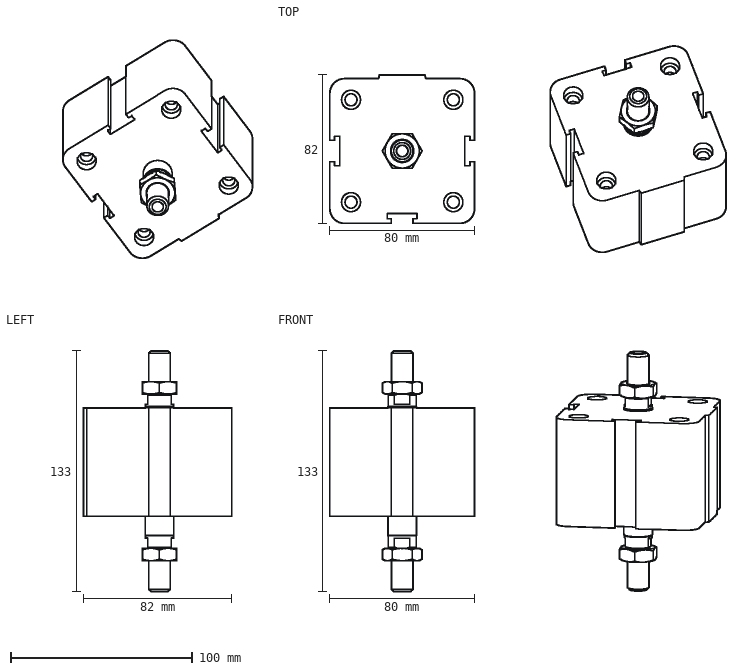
import cadquery as cq
import math

BLOCK_SIDE = 80.0
BLOCK_HEIGHT = 60.0
CORNER_RADIUS = 8.2

RIB_WIDTH = 25.1
RIB_HEIGHT = 2.0
RIB_SIDE_RUN = 0.5

SLOT_OPENING = 11.8
SLOT_WIDTH = 16.2
SLOT_LIP = 2.7
SLOT_DEPTH = 5.5

MOUNT_SPACING = 56.5
MOUNT_BORE = 10.5
MOUNT_BORE_DEPTH = 6.4
MOUNT_HOLE = 6.6
MOUNT_HOLE_DEPTH = 13.3

ROD_DIAMETER = 16.0
ROD_BORE = 6.3
ROD_LENGTH = 133.0
ROD_ABOVE_BLOCK = 31.5
THREAD_DIAMETER = 12.0
THREAD_LENGTH = 24.0
THREAD_CHAMFER = 1.3
COLLAR_DIAMETER = 15.5
COLLAR_CHAMFER = 0.7
COLLAR_END = 30.7
COLLAR_TAPER = 0.4
FLAT_WIDTH = 13.0
FLAT_END = 29.5

NUT_FLATS = 19.0
NUT_THICKNESS = 6.9
NUT_FACE_DIAMETER = 18.9
NUT_CHAMFER_ANGLE = 30.0
NUT_COUNTERSINK = 12.8

BLOCK_TOP = BLOCK_HEIGHT / 2
BLOCK_BOTTOM = -BLOCK_HEIGHT / 2
HALF_SIDE = BLOCK_SIDE / 2
ROD_TOP = BLOCK_TOP + ROD_ABOVE_BLOCK
ROD_BOTTOM = ROD_TOP - ROD_LENGTH


def base_plane():
    return cq.Workplane("XY").workplane(offset=BLOCK_BOTTOM)


def prism(outline):
    """Extrude an XY outline through the height of the block."""
    return outline.extrude(BLOCK_HEIGHT)


def rib():
    """Raised strip on the +Y face, with sides that slope out to its root."""
    half = RIB_WIDTH / 2
    root = half + RIB_SIDE_RUN
    outline = base_plane().polyline(
        [
            (-root, HALF_SIDE),
            (-half, HALF_SIDE + RIB_HEIGHT),
            (half, HALF_SIDE + RIB_HEIGHT),
            (root, HALF_SIDE),
        ]
    ).close()
    return prism(outline)


def t_slot(angle):
    """T-slot cutter for the -Y face, turned about Z to another face."""
    mouth = prism(base_plane().center(0, SLOT_DEPTH / 2 - HALF_SIDE).rect(SLOT_OPENING, SLOT_DEPTH))
    head_depth = SLOT_DEPTH - SLOT_LIP
    head_y = SLOT_LIP + head_depth / 2 - HALF_SIDE
    head = prism(base_plane().center(0, head_y).rect(SLOT_WIDTH, head_depth))
    return mouth.union(head).rotate((0, 0, 0), (0, 0, 1), angle)


def make_housing():
    block = prism(base_plane().rect(BLOCK_SIDE, BLOCK_SIDE)).edges("|Z").fillet(CORNER_RADIUS)
    block = block.union(rib())
    for angle in (-90, 0, 90):
        block = block.cut(t_slot(angle))
    for end_face in (">Z", "<Z"):
        block = (
            block.faces(end_face)
            .workplane(origin=(0, 0, 0))
            .rect(MOUNT_SPACING, MOUNT_SPACING, forConstruction=True)
            .vertices()
            .cboreHole(MOUNT_HOLE, MOUNT_BORE, MOUNT_BORE_DEPTH, MOUNT_HOLE_DEPTH)
        )
    rod_hole = prism(base_plane().circle(ROD_DIAMETER / 2))
    return block.cut(rod_hole)


def rod_half():
    """Upper half of the rod, standing on z = 0 with its stepped end on top."""
    end = ROD_LENGTH / 2
    collar_face = end - THREAD_LENGTH
    thread = THREAD_DIAMETER / 2
    collar = COLLAR_DIAMETER / 2
    body = (
        cq.Workplane("XZ")
        .moveTo(ROD_BORE / 2, 0)
        .lineTo(ROD_DIAMETER / 2, 0)
        .lineTo(ROD_DIAMETER / 2, end - COLLAR_END - COLLAR_TAPER)
        .lineTo(collar, end - COLLAR_END)
        .lineTo(collar, collar_face - COLLAR_CHAMFER)
        .lineTo(collar - COLLAR_CHAMFER, collar_face)
        .lineTo(thread, collar_face)
        .lineTo(thread, end - THREAD_CHAMFER)
        .lineTo(thread - THREAD_CHAMFER, end)
        .lineTo(ROD_BORE / 2, end)
        .close()
        .revolve(360, (0, 0, 0), (0, 1, 0))
    )
    flat_height = FLAT_END - THREAD_LENGTH
    for side in (-1, 1):
        flat = (
            cq.Workplane("XY")
            .workplane(offset=end - FLAT_END)
            .center(0, side * (FLAT_WIDTH + ROD_DIAMETER) / 2)
            .rect(2 * ROD_DIAMETER, ROD_DIAMETER)
            .extrude(flat_height)
        )
        body = body.cut(flat)
    return body


def make_rod():
    upper = rod_half()
    lower = upper.mirror("XY")
    return upper.union(lower).translate((0, 0, (ROD_TOP + ROD_BOTTOM) / 2))


def make_nut(bottom):
    """Hex nut with corners on X, chamfered and countersunk on both faces."""
    corner_diameter = NUT_FLATS / math.cos(math.radians(30))
    face_radius = NUT_FACE_DIAMETER / 2
    corner_radius = corner_diameter / 2
    drop = (corner_radius - face_radius) * math.tan(math.radians(NUT_CHAMFER_ANGLE))
    hole_radius = THREAD_DIAMETER / 2
    sink_radius = NUT_COUNTERSINK / 2
    sink_depth = sink_radius - hole_radius
    turned = (
        cq.Workplane("XZ")
        .moveTo(hole_radius, sink_depth)
        .lineTo(sink_radius, 0)
        .lineTo(face_radius, 0)
        .lineTo(corner_radius, drop)
        .lineTo(corner_radius, NUT_THICKNESS - drop)
        .lineTo(face_radius, NUT_THICKNESS)
        .lineTo(sink_radius, NUT_THICKNESS)
        .lineTo(hole_radius, NUT_THICKNESS - sink_depth)
        .close()
        .revolve(360, (0, 0, 0), (0, 1, 0))
    )
    hexagon = cq.Workplane("XY").polygon(6, corner_diameter).extrude(NUT_THICKNESS)
    return hexagon.intersect(turned).translate((0, 0, bottom))


housing = make_housing()
rod = make_rod()
nut_bottoms = (ROD_TOP - THREAD_LENGTH, ROD_BOTTOM + THREAD_LENGTH - NUT_THICKNESS)
nuts = [make_nut(bottom) for bottom in nut_bottoms]

result = cq.Compound.makeCompound([housing.val(), rod.val(), *[nut.val() for nut in nuts]])